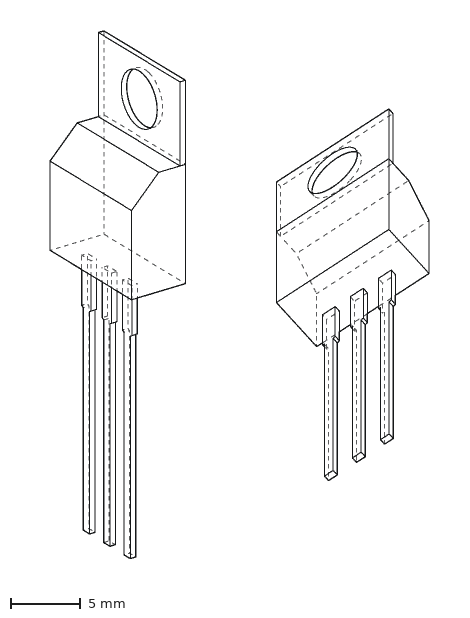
import cadquery as cq

total_height = 37.72
width = 10.15
depth = 4.7

tab_height = 6.65
tab_thickness = 0.5
tab_hole_diameter = 4.45

housing_height = 9.43
bevel = 2.38
housing_top = total_height - tab_height
housing_bottom = housing_top - housing_height

lead_count = 3
lead_pitch = 2.53
lead_thickness = 0.5
lead_back_offset = 2.83
shoulder_width = 1.17
shoulder_height = 3.95
leg_width = 0.8
taper_height = 0.1
shoulder_bottom = housing_bottom - shoulder_height
leg_top = shoulder_bottom - taper_height


def make_housing():
    """Extrude the bevelled side profile (Y, Z) across the full width."""
    return (
        cq.Workplane("YZ")
        .moveTo(0, housing_bottom)
        .lineTo(0, housing_top)
        .lineTo(bevel - depth, housing_top)
        .lineTo(-depth, housing_top - bevel)
        .lineTo(-depth, housing_bottom)
        .close()
        .extrude(width / 2, both=True)
    )


def make_tab():
    """Flat plate with a central through hole."""
    return (
        cq.Workplane("XZ")
        .center(0, housing_top + tab_height / 2)
        .rect(width, tab_height)
        .circle(tab_hole_diameter / 2)
        .extrude(tab_thickness)
    )


def make_lead(x_center):
    """Flat lead, tapered from shoulder to leg, that hangs from the underside of the housing."""
    half_shoulder = shoulder_width / 2
    half_leg = leg_width / 2
    return (
        cq.Workplane("XZ", origin=(x_center, -lead_back_offset, 0))
        .moveTo(-half_leg, 0)
        .lineTo(half_leg, 0)
        .lineTo(half_leg, leg_top)
        .lineTo(half_shoulder, shoulder_bottom)
        .lineTo(half_shoulder, housing_bottom)
        .lineTo(-half_shoulder, housing_bottom)
        .lineTo(-half_shoulder, shoulder_bottom)
        .lineTo(-half_leg, leg_top)
        .close()
        .extrude(lead_thickness)
    )


housing = make_housing()
tab = make_tab()
leads = []
for index in range(lead_count):
    x_center = (index - (lead_count - 1) / 2) * lead_pitch
    leads.append(make_lead(x_center).val())

result = cq.Compound.makeCompound([housing.val(), tab.val(), *leads])